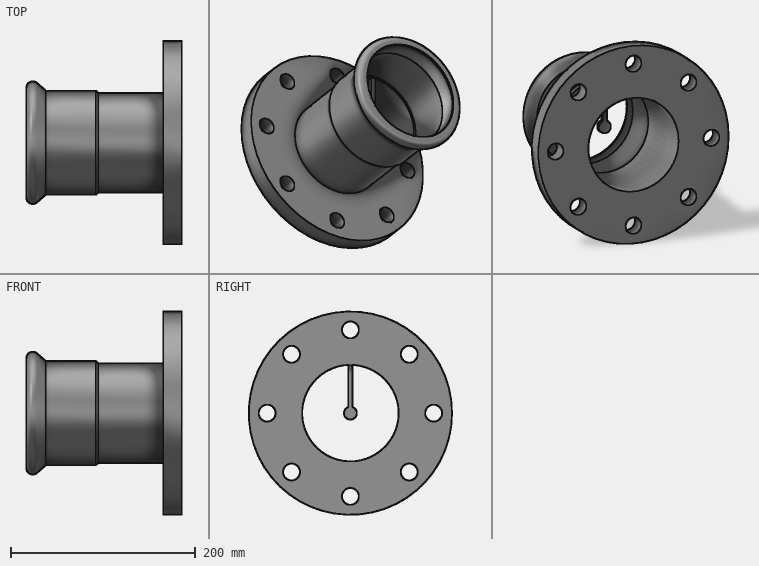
import cadquery as cq
import math

total_length = 168.0
flange_thickness = 20.0
flange_start = total_length - flange_thickness
bead_end = 21.1
socket_end = 75.0
pipe_start = 77.9
ledge_position = socket_end

bead_diameter = 132.9
mouth_diameter = 110.5
socket_outer_diameter = 112.9
socket_bore_diameter = 108.5
seat_diameter = 109.0
pipe_outer_diameter = 108.0
pipe_bore_diameter = 104.0

wall = 2.2
bead_round_radius = 7.0
seat_length = 1.3

flange_diameter = 220.0
bolt_hole_diameter = 18.0
bolt_circle_diameter = 180.0
bolt_count = 8

disc_diameter = 14.0
arm_width = 5.0
tab_thickness = arm_width
tab_start = ledge_position

bead_center_x = bead_round_radius
bead_center_r = bead_diameter / 2 - bead_round_radius


def point_on_round(radius, angle):
    """Point on a circle about the bead centre, with the angle measured from +X."""
    return (bead_center_x + radius * math.cos(angle), bead_center_r + radius * math.sin(angle))


def tangent_angle(radius, end_x, end_r):
    """Angle at which a line from the given end point touches a circle about the bead centre."""
    dx = end_x - bead_center_x
    dr = end_r - bead_center_r
    return math.atan2(dr, dx) + math.acos(radius / math.hypot(dx, dr))


def revolve_about_axis(profile):
    return profile.close().revolve(360, (0, 0, 0), (1, 0, 0))


def make_outer_shape():
    """Bead, socket, pipe and flange as one solid of revolution."""
    socket_r = socket_outer_diameter / 2
    pipe_r = pipe_outer_diameter / 2
    flange_r = flange_diameter / 2
    touch = tangent_angle(bead_round_radius, bead_end, socket_r)
    profile = (
        cq.Workplane("XY")
        .moveTo(0, 0)
        .lineTo(0, bead_center_r)
        .threePointArc(
            point_on_round(bead_round_radius, (math.pi + touch) / 2),
            point_on_round(bead_round_radius, touch),
        )
        .lineTo(bead_end, socket_r)
        .lineTo(socket_end, socket_r)
        .lineTo(pipe_start, pipe_r)
        .lineTo(flange_start, pipe_r)
        .lineTo(flange_start, flange_r)
        .lineTo(total_length, flange_r)
        .lineTo(total_length, 0)
    )
    return revolve_about_axis(profile)


def make_inner_space():
    """Mouth, hollow of the bead, socket bore and pipe bore as one solid of revolution."""
    mouth_r = mouth_diameter / 2
    seat_r = seat_diameter / 2
    socket_r = socket_bore_diameter / 2
    pipe_r = pipe_bore_diameter / 2
    hollow_radius = bead_round_radius - wall
    touch = tangent_angle(hollow_radius, bead_end, seat_r)
    profile = (
        cq.Workplane("XY")
        .moveTo(0, 0)
        .lineTo(0, mouth_r)
        .lineTo(wall, mouth_r)
        .lineTo(wall, bead_center_r)
        .threePointArc(
            point_on_round(hollow_radius, (math.pi + touch) / 2),
            point_on_round(hollow_radius, touch),
        )
        .lineTo(bead_end, seat_r)
        .lineTo(bead_end + seat_length, socket_r)
        .lineTo(ledge_position, socket_r)
        .lineTo(ledge_position, pipe_r)
        .lineTo(total_length, pipe_r)
        .lineTo(total_length, 0)
    )
    return revolve_about_axis(profile)


def make_bolt_holes():
    return (
        cq.Workplane("YZ", origin=(flange_start, 0, 0))
        .polarArray(bolt_circle_diameter / 2, 0, 360, bolt_count)
        .circle(bolt_hole_diameter / 2)
        .extrude(flange_thickness)
    )


def make_fitting():
    return make_outer_shape().cut(make_inner_space()).cut(make_bolt_holes())


def make_tab():
    """Disc and radial arm of one thickness, the curved arm tip resting against the pipe bore."""
    bore_r = pipe_bore_diameter / 2
    plane = cq.Workplane("YZ", origin=(tab_start, 0, 0))
    disc = plane.circle(disc_diameter / 2).extrude(tab_thickness)
    arm = plane.center(0, bore_r / 2).rect(arm_width, bore_r).extrude(tab_thickness)
    bore_plug = plane.circle(bore_r).extrude(tab_thickness)
    return disc.union(arm.intersect(bore_plug))


fitting = make_fitting()
tab = make_tab()

result = cq.Compound.makeCompound([fitting.val(), tab.val()])